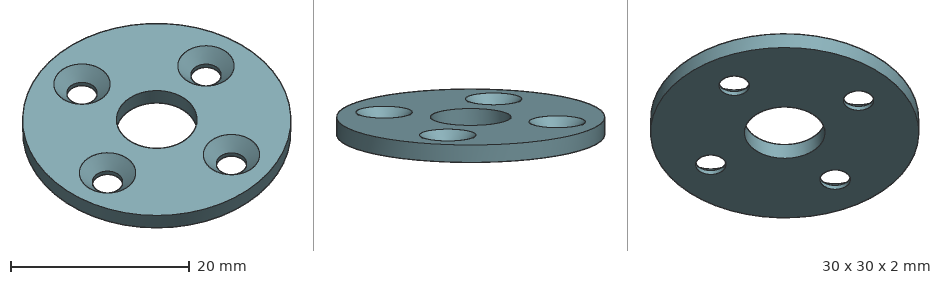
import cadquery as cq

disc_diameter = 30.0
thickness = 2.0
bore_diameter = 9.0

hole_count = 4
hole_circle_diameter = 20.0
hole_diameter = 3.4
countersink_diameter = 6.3
countersink_angle = 90.0

disc = cq.Workplane("XY").circle(disc_diameter / 2).extrude(thickness)

bored_disc = disc.faces(">Z").workplane().hole(bore_diameter)

result = (
    bored_disc.faces(">Z")
    .workplane(origin=(0, 0, thickness))
    .polarArray(hole_circle_diameter / 2, 0, 360, hole_count)
    .cskHole(hole_diameter, countersink_diameter, countersink_angle)
)